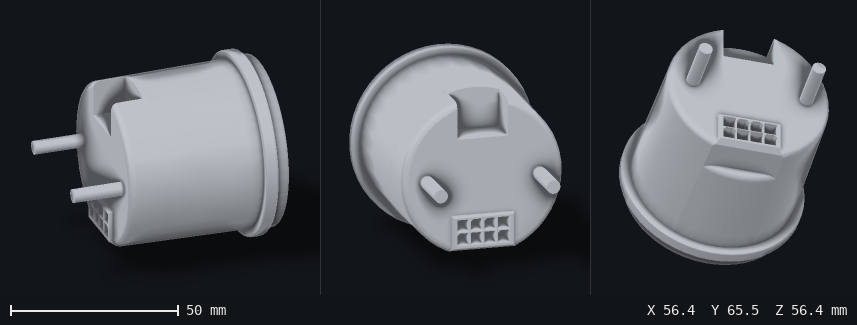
import cadquery as cq
import math

total_length = 65.5

bezel_radius = 26.2
flange_radius = 28.2
flange_front = 4.0
flange_rear = 7.9
bezel_edge_round = 0.8
flange_front_round = 0.8
flange_rear_round = 0.5
bezel_root_round = 0.45

can_root_radius = 25.7
can_rear_radius = 24.95
can_rear = 49.9
can_rear_round = 1.95

pocket_width = 15.8
pocket_floor = 12.3
pocket_depth = 9.95
pocket_corner_round = 0.45

notch_front = can_rear - pocket_depth
notch_lip_round = 2.15

connector_rear = 51.1
connector_face_width = 18.2
connector_face_top = -11.9
connector_face_bottom = -21.3
connector_bottom = -22.45
bevel_angle = 31.0
bevel_height = connector_face_bottom - connector_bottom
bevel_length = bevel_height / math.tan(math.radians(bevel_angle))
connector_base_width = connector_face_width + 2 * bevel_height
connector_root_length = 6.55

cavity_columns = 4
cavity_rows = 2
cavity_pitch = 4.2
cavity_size = 3.9
cavity_depth = 6.55
cavity_center_z = -16.5
keyed_corner = 0.85
keyed_cavities = {(0, 1), (0, 2), (1, 0), (1, 3)}

stud_radius = 2.1
stud_spacing = 34.9


def box(x_min, x_max, y_min, y_max, z_min, z_max):
    """Axis-aligned box between the given limits."""
    size = (x_max - x_min, y_max - y_min, z_max - z_min)
    return cq.Workplane("XY").box(*size, centered=False).translate((x_min, y_min, z_min))


def tapered_can(rear, rear_round):
    """Tapered can from the flange to a rounded rear edge at the given distance."""
    taper = (can_root_radius - can_rear_radius) / (can_rear - flange_rear)
    rear_radius = can_root_radius - taper * (rear - flange_rear)
    outline = (
        cq.Workplane("XY")
        .moveTo(0, -flange_front)
        .lineTo(can_root_radius, -flange_front)
        .lineTo(can_root_radius, -flange_rear)
        .lineTo(rear_radius, -rear)
        .lineTo(0, -rear)
        .close()
    )
    can = outline.revolve(360, (0, 0, 0), (0, 1, 0))
    return can.faces("<Y").edges().fillet(rear_round)


def bezel_and_flange():
    """Stepped disc with rounded rims and a small fillet where the bezel meets the flange."""
    bezel = cq.Workplane("XZ").circle(bezel_radius).extrude(flange_front)
    bezel = bezel.faces(">Y").edges().fillet(bezel_edge_round)
    flange = cq.Workplane("XZ", origin=(0, -flange_front, 0)).circle(flange_radius)
    flange = flange.extrude(flange_rear - flange_front)
    flange = flange.faces(">Y").edges().fillet(flange_front_round)
    flange = flange.faces("<Y").edges().fillet(flange_rear_round)
    root = (
        cq.Workplane("XY")
        .moveTo(0, -flange_front)
        .lineTo(bezel_radius + bezel_root_round, -flange_front)
        .radiusArc((bezel_radius, bezel_root_round - flange_front), bezel_root_round)
        .lineTo(0, bezel_root_round - flange_front)
        .close()
        .revolve(360, (0, 0, 0), (0, 1, 0))
    )
    return bezel.union(flange).union(root)


def notched_can():
    """Can whose lowest segment stops short at a rounded lip under the connector."""
    below = box(
        -can_root_radius, can_root_radius,
        -can_rear, -flange_rear,
        -can_root_radius, connector_bottom,
    )
    upper = tapered_can(can_rear, can_rear_round).cut(below)
    lip = tapered_can(notch_front, notch_lip_round)
    return upper.union(lip)


def rear_pocket():
    """Pocket cutter, open to the rear and the top, with rounded lower corners."""
    half = pocket_width / 2
    pocket = box(-half, half, -can_rear, pocket_depth - can_rear, pocket_floor, can_root_radius)
    return pocket.edges("|Y and <Z").fillet(pocket_corner_round)


def connector_block():
    """Connector body with a bevelled rear end."""
    half = connector_base_width / 2
    base_top = connector_face_top + bevel_height
    base_y = bevel_length - connector_rear
    root = box(-half, half, base_y, base_y + connector_root_length, connector_bottom, base_top)
    bevelled_end = (
        cq.Workplane("XZ", origin=(0, base_y, (connector_bottom + base_top) / 2))
        .rect(connector_base_width, base_top - connector_bottom)
        .extrude(bevel_length, taper=bevel_angle)
    )
    return root.union(bevelled_end)


def connector_bevel_relief():
    """Cutter that carries the lower bevel of the connector through the rear edge of the can."""
    return (
        cq.Workplane("YZ", origin=(-connector_base_width / 2, 0, 0))
        .moveTo(-connector_rear, connector_bottom)
        .lineTo(-connector_rear, connector_face_bottom)
        .lineTo(bevel_length - connector_rear, connector_bottom)
        .close()
        .extrude(connector_base_width)
    )


def terminal_cavity(row, column):
    """Square cavity cutter; keyed ones have both upper corners cut off."""
    x = (column - (cavity_columns - 1) / 2) * cavity_pitch
    z = cavity_center_z + ((cavity_rows - 1) / 2 - row) * cavity_pitch
    cavity = cq.Workplane("XZ", origin=(x, cavity_depth - connector_rear, z))
    cavity = cavity.rect(cavity_size, cavity_size).extrude(cavity_depth)
    if (row, column) in keyed_cavities:
        cavity = cavity.edges("|Y and >Z").chamfer(keyed_corner)
    return cavity


def studs():
    """Pair of studs standing on the rear face."""
    return (
        cq.Workplane("XZ", origin=(0, -can_rear, 0))
        .pushPoints([(-stud_spacing / 2, 0), (stud_spacing / 2, 0)])
        .circle(stud_radius)
        .extrude(total_length - can_rear)
    )


result = bezel_and_flange().union(notched_can()).cut(rear_pocket())
result = result.cut(connector_bevel_relief()).union(connector_block()).union(studs())
for row in range(cavity_rows):
    for column in range(cavity_columns):
        result = result.cut(terminal_cavity(row, column))